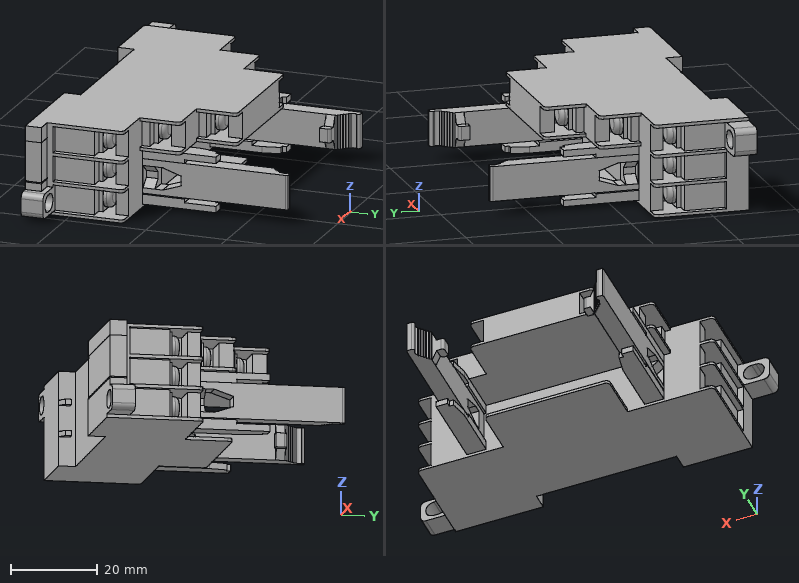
import cadquery as cq

OVERALL_LENGTH = 88.0
WIDTH = 22.4
CORNER_RADIUS = 1.1

BASE_HALF, BASE_TOP = 37.4, 22.9
MIDDLE_HALF, MIDDLE_TOP = 26.5, 32.9
TOP_HALF, TOP_TOP = 15.7, 42.9
FLOOR_STEP_TOP = 34.1

WALL = 0.8
BAY_ROWS = [(WALL, 7.4), (8.2, 14.4), (15.2, WIDTH - WALL)]
STEPPED_FROM = BAY_ROWS[1][1]

BAY_FLOOR = 5.5
BAY_RECESS = 1.4
LINTEL_RECESS = 3.5
POCKET_DEPTH = 10.6
POCKET_HEIGHT = 4.6
BASE_POCKET_DROP = 7.7
UPPER_POCKET_DROP = 8.1

SCREW_RADIUS = 2.8
SCREW_HEIGHT = 1.9
SCREW_ROUND = 1.1
SCREW_INSET = 7.0
WASHER_THICKNESS = 1.1

SLOT_LEFT, SLOT_RIGHT = -20.0, 15.3
SLOT_DEPTH = 4.05
HOOK_REACH = 1.7
HOOK_TOP = 2.7
HOOK_NOSE = 1.3
HOOK_WIDTH = 1.2
HOOK_SPACING = 7.4

TAB_HEIGHT = 5.5
TAB_RADIUS = 1.4
LEFT_TAB_BOTTOM, LEFT_TAB_TOP = 15.0, 21.65
RIGHT_TAB_BOTTOM, RIGHT_TAB_TOP = WALL, 6.9
TAB_HOLE_LENGTH, TAB_HOLE_WIDTH = 5.2, 4.1
TAB_HOLE_X = 40.0

LIP_END = 41.3
CHANNEL_BOTTOM, CHANNEL_TOP = 8.7, 18.7
CLIP_CLEARANCE = 0.3
CLIP_NECK = 0.3
CLIP_SLOPE_END = 15.7

ARM_OUTER, ARM_INNER = 24.8, 20.5
ARM_TOP = 58.9
ARM_BOTTOM_Z, ARM_TOP_Z = 3.5, 12.0
ARM_MIDDLE_Z = (ARM_BOTTOM_Z + ARM_TOP_Z) / 2
TIP_THICKNESS = 1.9
TIP_RADIUS = 0.6
TIP_BEVEL_WIDTH, TIP_BEVEL_LENGTH = 0.2, 0.6
GRIP_TOP, GRIP_MIDDLE = 58.0, 57.4
GRIP_DEPTH = 0.35
TEETH = 5
TEETH_TOP, TEETH_BOTTOM = 56.7, 54.1

CATCH_TIP = 17.5
CATCH_TAPER_END = 19.4
CATCH_TOP, CATCH_BOTTOM = 53.6, 50.9
CATCH_THROAT = 51.4
CATCH_THROAT_END = 18.9
CATCH_WIDTH = 3.3
CATCH_RADIUS = 0.7

WINDOW_TOP, WINDOW_SHOULDER = 32.5, 27.9
WINDOW_MIDDLE_Z = 7.6
WINDOW_SILL, WINDOW_BOTTOM = 26.0, 23.1
WINDOW_WIDTH, WINDOW_TOP_WIDTH = 5.5, 2.4
WINDOW_FLOOR_WIDTH = 1.7
WINDOW_POCKET_DEPTH = 2.2

GUIDE_TOP, GUIDE_LEDGE, GUIDE_SHOULDER = 41.1, 40.0, 35.7
GUIDE_TOP_INNER, GUIDE_LEDGE_INNER, GUIDE_INNER = 21.9, 20.9, 20.0
GUIDE_THICKNESS = 1.6
GUIDE_STEP_TOP = 33.3
GUIDE_GAP = 0.3

SIDES = (-1, 1)
STEPS = [
    (BASE_HALF, BAY_FLOOR, BASE_TOP, BASE_POCKET_DROP),
    (MIDDLE_HALF, BASE_TOP, MIDDLE_TOP, UPPER_POCKET_DROP),
    (TOP_HALF, MIDDLE_TOP, TOP_TOP, UPPER_POCKET_DROP),
]


def block(x_a, x_b, y_a, y_b, z_a, z_b):
    """Box between two opposite corners, given in any order along X."""
    left, right = min(x_a, x_b), max(x_a, x_b)
    box = cq.Workplane("XY").box(right - left, y_b - y_a, z_b - z_a, centered=False)
    return box.translate((left, y_a, z_a))


def prism(points, z_a, z_b):
    """Outline in X and Y, extruded from z_a to z_b."""
    return cq.Workplane("XY").workplane(offset=z_a).polyline(points).close().extrude(z_b - z_a)


def rounded_step(half, top, z_a, z_b):
    """Symmetric step with its two far corners rounded."""
    step = block(-half, half, 0, top, z_a, z_b)
    return step.edges("|Z and >Y").fillet(CORNER_RADIUS)


def stepped_body():
    body = rounded_step(BASE_HALF, BASE_TOP, 0, WIDTH)
    body = body.union(rounded_step(MIDDLE_HALF, MIDDLE_TOP, STEPPED_FROM, WIDTH))
    body = body.union(rounded_step(TOP_HALF, TOP_TOP, STEPPED_FROM, WIDTH))
    return body.union(rounded_step(TOP_HALF, FLOOR_STEP_TOP, 0, WALL))


def terminal_bay(side, step, row):
    """Space removed for one terminal: recess, set-back lintel and screw pocket."""
    half, floor, top, pocket_drop = step
    pocket_floor = top - pocket_drop
    outer = side * half
    recess = block(outer, side * (half - BAY_RECESS), floor, top, *row)
    lintel = block(outer, side * (half - LINTEL_RECESS), pocket_floor, top, *row)
    pocket = block(outer, side * (half - POCKET_DEPTH), pocket_floor, pocket_floor + POCKET_HEIGHT, *row)
    return recess.union(lintel).union(pocket)


def terminal_screw(side, step, row):
    """Washer plate and rounded screw head standing on the pocket floor."""
    half, _, top, pocket_drop = step
    pocket_floor = top - pocket_drop
    axis_x = side * (half - SCREW_INSET)
    washer_top = pocket_floor + WASHER_THICKNESS
    washer = block(axis_x - SCREW_RADIUS, axis_x + SCREW_RADIUS, pocket_floor, washer_top, *row)
    head = cq.Workplane("XZ").circle(SCREW_RADIUS).extrude(-SCREW_HEIGHT)
    head = head.faces(">Y").edges().fillet(SCREW_ROUND)
    return washer.union(head.translate((axis_x, washer_top, (row[0] + row[1]) / 2)))


def terminals():
    """Step and bay row of every terminal on one side."""
    base_terminals = [(STEPS[0], row) for row in BAY_ROWS]
    upper_terminals = [(step, BAY_ROWS[-1]) for step in STEPS[1:]]
    return base_terminals + upper_terminals


def mounting_tab(side, z_a, z_b):
    tab = block(side * OVERALL_LENGTH / 2, side * (BASE_HALF - BAY_RECESS), 0, TAB_HEIGHT, z_a, z_b)
    return tab.edges("|Y and " + ("<X" if side < 0 else ">X")).fillet(TAB_RADIUS)


def tab_hole(side, z_a, z_b):
    hole = cq.Workplane("XZ").slot2D(TAB_HOLE_LENGTH, TAB_HOLE_WIDTH).extrude(-TAB_HEIGHT)
    return hole.translate((side * TAB_HOLE_X, 0, (z_a + z_b) / 2))


def fixed_hook(middle_z):
    tip = SLOT_LEFT + HOOK_REACH
    points = [(SLOT_LEFT, 0), (tip, HOOK_NOSE), (tip, HOOK_TOP), (SLOT_LEFT, HOOK_TOP)]
    return prism(points, middle_z - HOOK_WIDTH / 2, middle_z + HOOK_WIDTH / 2)


def arm_guides(side):
    """Two guides, one on each side of an arm, standing on the base step."""
    profile = [
        (side * ARM_OUTER, BASE_TOP),
        (side * ARM_OUTER, GUIDE_TOP),
        (side * GUIDE_TOP_INNER, GUIDE_TOP),
        (side * GUIDE_TOP_INNER, GUIDE_LEDGE),
        (side * GUIDE_LEDGE_INNER, GUIDE_LEDGE),
        (side * GUIDE_INNER, GUIDE_SHOULDER),
        (side * GUIDE_INNER, BASE_TOP),
    ]
    guides = prism(profile, WALL, STEPPED_FROM)
    upper_gap = block(side * ARM_OUTER, side * GUIDE_INNER, GUIDE_STEP_TOP, GUIDE_TOP,
                      WALL + GUIDE_THICKNESS, STEPPED_FROM - GUIDE_THICKNESS)
    lower_gap = block(side * ARM_OUTER, side * GUIDE_INNER, BASE_TOP, GUIDE_STEP_TOP,
                      ARM_BOTTOM_Z - GUIDE_GAP, ARM_TOP_Z)
    return guides.cut(upper_gap).cut(lower_gap)


def make_housing():
    body = stepped_body()
    for side in SIDES:
        for step, row in terminals():
            body = body.cut(terminal_bay(side, step, row))
            body = body.union(terminal_screw(side, step, row))
        body = body.union(arm_guides(side))

    body = body.union(block(BASE_HALF - BAY_RECESS, LIP_END, 0, SLOT_DEPTH, RIGHT_TAB_TOP, WIDTH))
    for side, z_a, z_b in ((-1, LEFT_TAB_BOTTOM, LEFT_TAB_TOP), (1, RIGHT_TAB_BOTTOM, RIGHT_TAB_TOP)):
        body = body.union(mounting_tab(side, z_a, z_b)).cut(tab_hole(side, z_a, z_b))

    body = body.cut(block(SLOT_LEFT, SLOT_RIGHT, 0, SLOT_DEPTH, 0, WIDTH))
    body = body.cut(block(SLOT_RIGHT, LIP_END, 0, SLOT_DEPTH, CHANNEL_BOTTOM, CHANNEL_TOP))
    for offset in (-HOOK_SPACING / 2, HOOK_SPACING / 2):
        body = body.union(fixed_hook(WIDTH / 2 + offset))
    return body


def make_rail_clip():
    """Sliding clip whose nose faces the fixed hooks across the rail slot."""
    nose = SLOT_RIGHT - HOOK_REACH
    neck = SLOT_RIGHT - CLIP_NECK
    profile = [
        (CLIP_SLOPE_END, 0),
        (nose, HOOK_NOSE),
        (nose, HOOK_TOP),
        (neck, HOOK_TOP),
        (neck, SLOT_DEPTH),
        (LIP_END, SLOT_DEPTH),
        (LIP_END, 0),
    ]
    clip = prism(profile, CHANNEL_BOTTOM, CHANNEL_TOP)
    return clip.cut(block(CLIP_SLOPE_END, LIP_END, 0, SLOT_DEPTH,
                          CHANNEL_BOTTOM, CHANNEL_BOTTOM + CLIP_CLEARANCE))


def arm_blade():
    """Left arm without hook or window, with a finger grip and teeth at its free end."""
    tip_x = -ARM_OUTER + TIP_THICKNESS
    tooth_width = (-ARM_INNER - tip_x) / TEETH
    tooth_drop = (TEETH_TOP - TEETH_BOTTOM) / TEETH
    outline = (
        cq.Workplane("XY").workplane(offset=ARM_BOTTOM_Z)
        .moveTo(-ARM_OUTER, BASE_TOP)
        .lineTo(-ARM_OUTER, ARM_TOP - TIP_BEVEL_LENGTH)
        .lineTo(-ARM_OUTER + TIP_BEVEL_WIDTH, ARM_TOP)
        .lineTo(tip_x - TIP_RADIUS, ARM_TOP)
        .radiusArc((tip_x, ARM_TOP - TIP_RADIUS), TIP_RADIUS)
        .lineTo(tip_x, GRIP_TOP)
        .threePointArc((tip_x - GRIP_DEPTH, GRIP_MIDDLE), (tip_x, TEETH_TOP))
    )
    for tooth in range(1, TEETH + 1):
        x = tip_x + tooth * tooth_width
        y = TEETH_TOP - tooth * tooth_drop
        outline = outline.lineTo(x - tooth_width, y).lineTo(x, y)
    return outline.lineTo(-ARM_INNER, BASE_TOP).close().extrude(ARM_TOP_Z - ARM_BOTTOM_Z)


def arm_catch():
    """Hook of the left arm: full arm width at its root, tapering to a narrow tip."""
    half_root = (ARM_TOP_Z - ARM_BOTTOM_Z) / 2
    half_tip = CATCH_WIDTH / 2
    plan = [
        (-ARM_INNER, -half_root),
        (-CATCH_TAPER_END, -half_tip),
        (-CATCH_TIP, -half_tip),
        (-CATCH_TIP, half_tip),
        (-CATCH_TAPER_END, half_tip),
        (-ARM_INNER, half_root),
    ]
    catch = cq.Workplane("XZ").polyline(plan).close().extrude(CATCH_BOTTOM - CATCH_TOP)
    catch = catch.translate((0, CATCH_BOTTOM, ARM_MIDDLE_Z))
    catch = catch.edges("|Z and >X and >Y").fillet(CATCH_RADIUS)
    throat = [
        (-ARM_INNER, CATCH_BOTTOM),
        (-ARM_INNER, CATCH_THROAT),
        (-CATCH_TAPER_END, CATCH_THROAT),
        (-CATCH_THROAT_END, CATCH_BOTTOM),
    ]
    return catch.cut(prism(throat, ARM_BOTTOM_Z, ARM_TOP_Z))


def arm_window():
    """Through window of the left arm, continued downwards as a pocket with sloping sides."""
    half = WINDOW_WIDTH / 2
    half_top = WINDOW_TOP_WIDTH / 2
    half_floor = WINDOW_FLOOR_WIDTH / 2
    opening = [
        (WINDOW_SILL, -half),
        (WINDOW_SHOULDER, -half),
        (WINDOW_TOP, -half_top),
        (WINDOW_TOP, half_top),
        (WINDOW_SHOULDER, half),
        (WINDOW_SILL, half),
    ]
    through = cq.Workplane("YZ").polyline(opening).close().extrude(ARM_OUTER - ARM_INNER)
    trough = [(0, -half), (WINDOW_POCKET_DEPTH, -half_floor), (WINDOW_POCKET_DEPTH, half_floor), (0, half)]
    pocket = cq.Workplane("XZ").polyline(trough).close().extrude(WINDOW_BOTTOM - WINDOW_SILL)
    pocket = pocket.translate((0, WINDOW_BOTTOM, 0))
    return through.union(pocket).translate((-ARM_OUTER, 0, WINDOW_MIDDLE_Z))


def make_arm(side):
    arm = arm_blade().union(arm_catch()).cut(arm_window())
    return arm if side < 0 else arm.mirror("YZ")


housing = make_housing()
rail_clip = make_rail_clip()
arms = [make_arm(side) for side in SIDES]

bodies = [housing, rail_clip, *arms]
result = cq.Compound.makeCompound([body.solids().val() for body in bodies])